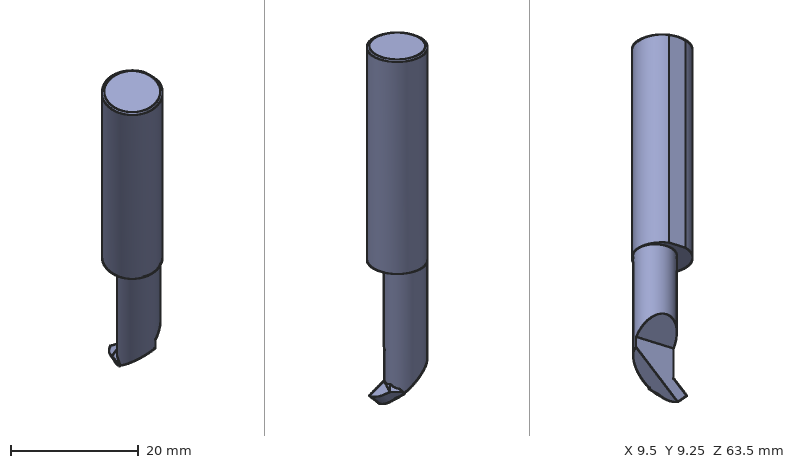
import cadquery as cq
import math

total_length = 63.5
shank_diameter = 9.5
shank_length = 38.1
flat_distance = 4.5
chamfer_width = 0.4
chamfer_height = 0.25

neck_diameter = 6.85
neck_radius = neck_diameter / 2
neck_center_x = shank_diameter / 2 - neck_radius
neck_top = total_length - shank_length
half_cut_start = 12.95

underside_height = 2.85
arm_thickness = 2.35
arm_taper_angle = 13.5
tip_reach = underside_height * math.sqrt(2)
nose_end = (-2.35, -2.0)
nose_bulge = 0.2
flank_end = (0.5, -3.5)
arm_root = 0.65

ledge_corner = (-1.85, -2.8, 3.35)
ledge_normal = (-0.5, -0.85, 1.0)
web_normal = (-2.1, -0.47, 1.0)

clearance = 25.4


def make_shank():
    shank = (
        cq.Workplane("XY").workplane(offset=neck_top)
        .circle(shank_diameter / 2).extrude(shank_length)
        .faces(">Z").chamfer(chamfer_height, chamfer_width)
    )
    flat_cutter = (
        cq.Workplane("XY", origin=(0, flat_distance, neck_top))
        .rect(clearance, clearance).extrude(shank_length)
        .translate((0, clearance / 2, 0))
    )
    return shank.cut(flat_cutter)


def make_neck():
    neck = cq.Workplane("XY").center(neck_center_x, 0).circle(neck_radius).extrude(neck_top)

    half_cutter = (
        cq.Workplane("YZ")
        .polyline([
            (0, 0),
            (0, half_cut_start - neck_radius),
            (neck_radius, half_cut_start),
            (neck_radius, 0),
        ])
        .close().extrude(clearance / 2, both=True)
    )

    underside_cutter = cq.Workplane(underside_plane()).rect(clearance, clearance).extrude(-clearance)
    return neck.cut(half_cutter).cut(underside_cutter)


def underside_plane():
    """Plane of the underside: local x runs up the arm, local y is +Y."""
    return cq.Plane(origin=(0, 0, underside_height), xDir=(1, 0, 1), normal=(-1, 0, 1))


def make_arm():
    chord_along = nose_end[0] + tip_reach
    chord_across = -nose_end[1]
    chord_angle = math.atan2(chord_along, chord_across)
    nose_middle = (
        -tip_reach + chord_along / 2 - nose_bulge * math.cos(chord_angle),
        -chord_across / 2 - nose_bulge * math.sin(chord_angle),
    )
    arm = (
        cq.Workplane(underside_plane())
        .moveTo(-tip_reach, 0)
        .threePointArc(nose_middle, nose_end)
        .lineTo(*flank_end)
        .lineTo(arm_root, 0)
        .close().extrude(arm_thickness)
    )

    taper_plane = cq.Plane(origin=(0, 0, underside_height), xDir=(0, 1, 0), normal=(1, 0, 1))
    taper_drop = neck_diameter * math.tan(math.radians(arm_taper_angle))
    taper_cutter = (
        cq.Workplane(taper_plane)
        .polyline([
            (0, arm_thickness),
            (-neck_diameter, arm_thickness - taper_drop),
            (-neck_diameter, arm_thickness),
        ])
        .close().extrude(clearance / 2, both=True)
    )

    taper_cutter = taper_cutter.intersect(space_above(web_normal))
    return arm.cut(taper_cutter).cut(space_above(ledge_normal))


def space_above(normal):
    """Block resting on the plane through the ledge corner with the given normal."""
    plane = cq.Plane(origin=ledge_corner, normal=normal)
    return cq.Workplane(plane).rect(clearance, clearance).extrude(clearance)


result = make_shank().union(make_neck()).union(make_arm())